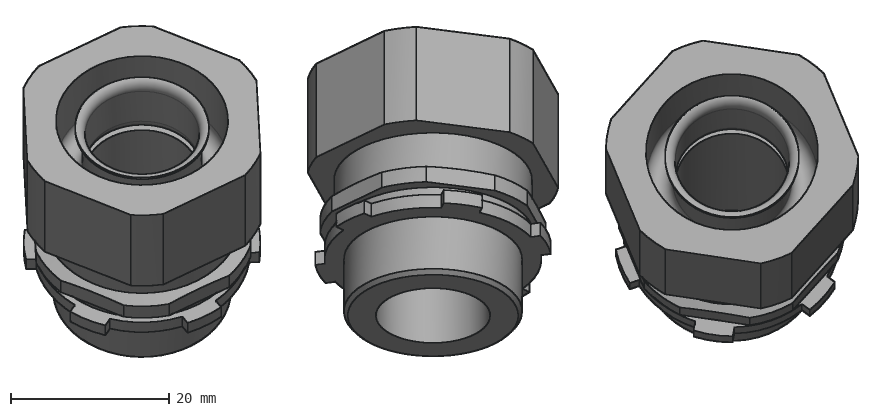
import cadquery as cq
import math

total_height = 33.0
lock_ring_bottom = 8.1
lock_ring_top = 9.95
body_hex_bottom = 11.5
body_hex_top = 14.2
nut_bottom = 19.5

spigot_radius = 11.3
spigot_chamfer_height = 0.6
spigot_chamfer_width = 0.5
collar_radius = 12.85
neck_radius = 12.55
nut_flats = 29.55
nut_corner_diameter = 31.98
body_hex_flats = 27.2
body_hex_corner_diameter = 28.65
body_hex_corner_drop = 0.5

lock_ring_radius = 13.73
tab_count = 6
tab_tip_radius = 14.98
tab_width = 5.0

bore_radius = 7.23
sleeve_thickness = 0.33
sleeve_outer_radius = bore_radius + sleeve_thickness
sleeve_drop = 1.3
sleeve_top = total_height - sleeve_drop
lip_radius = 8.48
lip_inner_bend = lip_radius - bore_radius
lip_outer_bend = lip_inner_bend - sleeve_thickness
lip_bend_height = sleeve_top - lip_inner_bend
pocket_radius = 10.9

trough_height = 24.75
trough_bend = (pocket_radius - sleeve_outer_radius) / 2
trough_center_radius = (pocket_radius + sleeve_outer_radius) / 2

flare_bend = trough_bend + sleeve_thickness
ledge_radius = 8.25
ledge_height = trough_height - math.sqrt(flare_bend**2 - (trough_center_radius - ledge_radius) ** 2)


def cylinder(radius, bottom, top):
    """Cylinder on the Z axis between two heights."""
    return cq.Workplane("XY").workplane(offset=bottom).circle(radius).extrude(top - bottom)


def rounded_hexagon(flats, corner_diameter, bottom, top):
    """Hexagonal prism, corners on X, with its corners trimmed by a cylinder."""
    sharp_diameter = flats / math.cos(math.pi / 6)
    prism = (
        cq.Workplane("XY").workplane(offset=bottom)
        .polygon(6, sharp_diameter).extrude(top - bottom)
    )
    return prism.intersect(cylinder(corner_diameter / 2, bottom, top))


def body_hexagon():
    """Body hexagon whose top slopes down from the neck to the corners."""
    corner_radius = body_hex_corner_diameter / 2
    cone_envelope = (
        cq.Workplane("XZ")
        .moveTo(0, body_hex_bottom)
        .lineTo(corner_radius, body_hex_bottom)
        .lineTo(corner_radius, body_hex_top - body_hex_corner_drop)
        .lineTo(neck_radius, body_hex_top)
        .lineTo(0, body_hex_top)
        .close()
        .revolve(360, (0, 0, 0), (0, 1, 0))
    )
    prism = rounded_hexagon(body_hex_flats, body_hex_corner_diameter, body_hex_bottom, body_hex_top)
    return prism.intersect(cone_envelope)


def lock_ring():
    """Thin ring with evenly spaced tabs, the first one pointing along +Y."""
    ring = cylinder(lock_ring_radius, lock_ring_bottom, lock_ring_top)
    tip_disc = cylinder(tab_tip_radius, lock_ring_bottom, lock_ring_top)
    bar = (
        cq.Workplane("XY").workplane(offset=lock_ring_bottom)
        .rect(tab_width, 2 * tab_tip_radius)
        .extrude(lock_ring_top - lock_ring_bottom)
        .intersect(tip_disc)
    )
    for index in range(tab_count // 2):
        ring = ring.union(bar.rotate((0, 0, 0), (0, 0, 1), index * 360 / tab_count))
    return ring


def spigot():
    """Threaded end, drawn plain, with a chamfered lower edge."""
    chamfered = cylinder(spigot_radius, 0, lock_ring_bottom)
    return chamfered.faces("<Z").chamfer(spigot_chamfer_height, spigot_chamfer_width)


def arc_point(center_radius, center_height, bend, degrees):
    """Point (radius, height) on a bend in the revolved section."""
    angle = math.radians(degrees)
    return (center_radius + bend * math.cos(angle), center_height + bend * math.sin(angle))


def inner_cavity():
    """Bore, ledge, flared sleeve lip and trough-bottomed pocket as one revolved shape."""
    ledge_angle = 180 + math.degrees(math.asin((trough_height - ledge_height) / flare_bend))
    flare_middle = arc_point(trough_center_radius, trough_height, flare_bend, (180 + ledge_angle) / 2)
    lip_inner_middle = arc_point(lip_radius, lip_bend_height, lip_inner_bend, 135)
    lip_outer_middle = arc_point(lip_radius, lip_bend_height, lip_outer_bend, 135)
    trough_bottom = arc_point(trough_center_radius, trough_height, trough_bend, 270)
    return (
        cq.Workplane("XZ")
        .moveTo(0, 0)
        .lineTo(bore_radius, 0)
        .lineTo(bore_radius, ledge_height)
        .lineTo(ledge_radius, ledge_height)
        .threePointArc(flare_middle, (bore_radius, trough_height))
        .lineTo(bore_radius, lip_bend_height)
        .threePointArc(lip_inner_middle, (lip_radius, sleeve_top))
        .lineTo(lip_radius, sleeve_top - sleeve_thickness)
        .threePointArc(lip_outer_middle, (sleeve_outer_radius, lip_bend_height))
        .lineTo(sleeve_outer_radius, trough_height)
        .threePointArc(trough_bottom, (pocket_radius, trough_height))
        .lineTo(pocket_radius, total_height)
        .lineTo(0, total_height)
        .close()
        .revolve(360, (0, 0, 0), (0, 1, 0))
    )


result = (
    spigot()
    .union(lock_ring())
    .union(cylinder(collar_radius, lock_ring_top, body_hex_bottom))
    .union(body_hexagon())
    .union(cylinder(neck_radius, body_hex_top, nut_bottom))
    .union(rounded_hexagon(nut_flats, nut_corner_diameter, nut_bottom, total_height))
    .cut(inner_cavity())
)